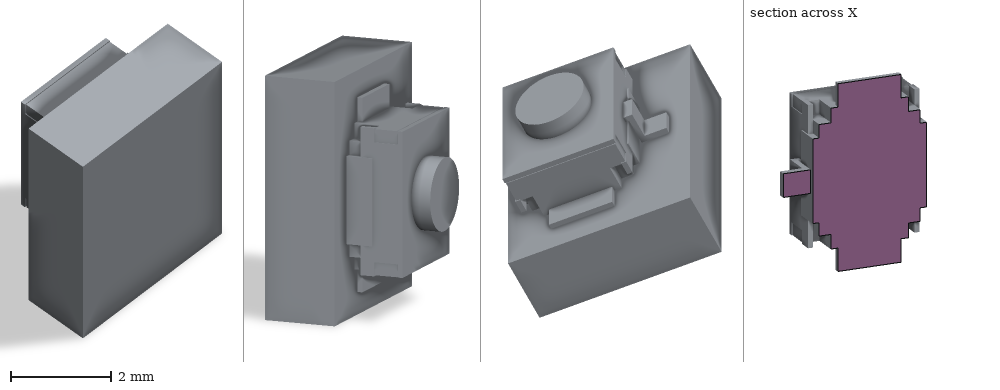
import cadquery as cq

BOARD_THICKNESS = 1.51
BOARD_WIDTH = 4.0
BOARD_HEIGHT = 5.0
BOARD_GAP = 0.08
SWITCH_Y = 0.32

BUTTON_HEIGHT = 0.405
BUTTON_DIAMETER = 1.5
SWITCH_BACK = 1.6
BOARD_FRONT = SWITCH_BACK + BOARD_GAP

COVER_WIDTH = 2.44
COVER_HEIGHT = 2.99
SHEET = 0.11
SKIRT_BACK = 1.315
WINDOW_BACK = 1.015
WINDOW_HEIGHT = 0.27
TAB_RISE = 0.02

PLATE_BACK = BUTTON_HEIGHT + SHEET
GROOVE_WIDTH = 0.02
GROOVE_DEPTH = 0.02
BASE_FRONT = PLATE_BACK + GROOVE_WIDTH
BASE_INSET = 0.02
NOTCH_FRONT = 1.05
NOTCH_HEIGHT = 0.31
NOTCH_INNER_WIDTH = 1.7
SIDE_BLOCK_WIDTH = 2.5
SIDE_BLOCK_HEIGHT = 1.8

TERMINAL_THICKNESS = 0.11
TERMINAL_WIDTH = 1.39
TERMINAL_SPAN = 3.98

LEAD_FRONT = 0.875
LEAD_THICKNESS = 0.12
LEAD_WIDTH = 0.51
LEAD_BEND_Y = -1.095
LEAD_TIP_Y = -1.575
FOOT_THICKNESS = 0.135


def block(x_front, x_back, width, height, y=SWITCH_Y, z=0.0):
    """Box between two X depths, centred at y and z."""
    return cq.Workplane("XY").box(x_back - x_front, width, height).translate(
        ((x_front + x_back) / 2, y, z)
    )


def make_cover():
    cover = block(BUTTON_HEIGHT, PLATE_BACK, COVER_WIDTH, COVER_HEIGHT)
    tab_height = COVER_HEIGHT + 2 * TAB_RISE
    window_bottom_height = COVER_HEIGHT - 2 * WINDOW_HEIGHT
    for side in (-1, 1):
        skirt_y = SWITCH_Y + side * (COVER_WIDTH - SHEET) / 2
        cover = cover.union(block(PLATE_BACK, WINDOW_BACK, SHEET, window_bottom_height, skirt_y))
        cover = cover.union(block(WINDOW_BACK, SKIRT_BACK, SHEET, tab_height, skirt_y))
    return cover


def make_base():
    inner_width = COVER_WIDTH - 2 * SHEET
    window_width = COVER_WIDTH - 2 * BASE_INSET
    base = block(BASE_FRONT, SWITCH_BACK, inner_width, COVER_HEIGHT)
    base = base.union(block(BASE_FRONT, WINDOW_BACK, window_width, COVER_HEIGHT))

    notch_width = (COVER_WIDTH - NOTCH_INNER_WIDTH) / 2
    for side in (-1, 1):
        for end in (-1, 1):
            notch_y = SWITCH_Y + side * (NOTCH_INNER_WIDTH + notch_width) / 2
            notch_z = end * (COVER_HEIGHT - NOTCH_HEIGHT) / 2
            base = base.cut(
                block(NOTCH_FRONT, SWITCH_BACK, notch_width, NOTCH_HEIGHT, notch_y, notch_z)
            )

    side_blocks = block(NOTCH_FRONT, SWITCH_BACK, SIDE_BLOCK_WIDTH, SIDE_BLOCK_HEIGHT)
    groove_floor = block(
        PLATE_BACK, BASE_FRONT, window_width - 2 * GROOVE_DEPTH, COVER_HEIGHT - 2 * GROOVE_DEPTH
    )
    return base.union(side_blocks).union(groove_floor)


def make_button():
    return cq.Workplane("YZ").center(SWITCH_Y, 0).circle(BUTTON_DIAMETER / 2).extrude(BUTTON_HEIGHT)


def make_end_terminals():
    return block(SWITCH_BACK - TERMINAL_THICKNESS, SWITCH_BACK, TERMINAL_WIDTH, TERMINAL_SPAN)


def make_lead():
    root_y = SWITCH_Y - COVER_WIDTH / 2
    inner_y = LEAD_BEND_Y + LEAD_THICKNESS
    foot_front = SWITCH_BACK - FOOT_THICKNESS
    profile = [
        (LEAD_FRONT, root_y),
        (LEAD_FRONT, LEAD_BEND_Y),
        (foot_front, LEAD_BEND_Y),
        (foot_front, LEAD_TIP_Y),
        (SWITCH_BACK, LEAD_TIP_Y),
        (SWITCH_BACK, inner_y),
        (LEAD_FRONT + LEAD_THICKNESS, inner_y),
        (LEAD_FRONT + LEAD_THICKNESS, root_y),
    ]
    return cq.Workplane("XY").polyline(profile).close().extrude(LEAD_WIDTH / 2, both=True)


def make_switch():
    switch = make_cover().union(make_base())
    switch = switch.union(make_button())
    switch = switch.union(make_end_terminals())
    return switch.union(make_lead())


def make_board():
    return block(BOARD_FRONT, BOARD_FRONT + BOARD_THICKNESS, BOARD_WIDTH, BOARD_HEIGHT, y=0.0)


switch = make_switch()
board = make_board()
result = cq.Compound.makeCompound([switch.val(), board.val()])